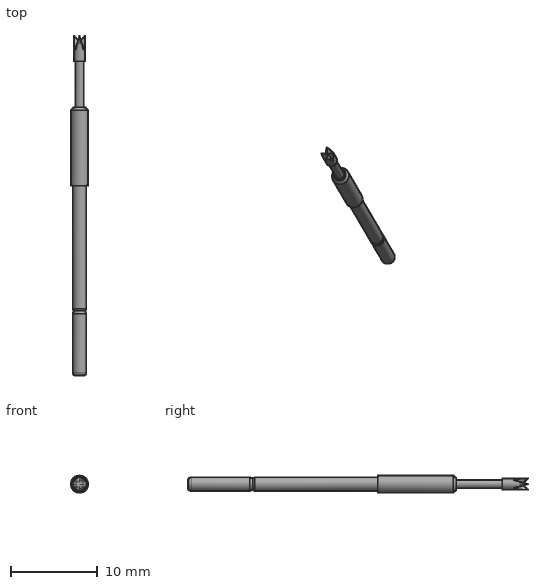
import cadquery as cq
import math


total_length = 39.3
barrel_radius = 0.8
collar_radius = 1.0
plunger_radius = 0.5
crown_radius = 0.66

collar_start = 21.95
collar_end = 31.0
crown_start = 36.3

tail_round = 0.38
collar_chamfer_length = 0.36
collar_chamfer_inset = 0.29

groove_bottom = 7.51
groove_depth = 0.1
groove_cone_length = 0.24
groove_curve_length = 0.36
groove_curve_bow = 0.025

tooth_count = 4
valley_depth_center = 0.69
valley_depth_rim = 1.65


def cylinder(radius, start, end):
    """Solid cylinder on the Y axis between two Y positions."""
    return cq.Workplane("XZ", origin=(0, start, 0)).circle(radius).extrude(start - end)


def make_barrel():
    return cylinder(barrel_radius, 0, collar_start).faces("<Y").edges().fillet(tail_round)


def make_collar():
    blank = cylinder(collar_radius, collar_start, collar_end)
    return blank.faces(">Y").edges().chamfer(collar_chamfer_length, collar_chamfer_inset)


def make_plunger():
    shaft = cylinder(plunger_radius, collar_end, crown_start)
    return shaft.union(cylinder(crown_radius, crown_start, total_length))


def groove_cutter():
    """Ring cutter for the barrel groove, made by revolving its profile about the Y axis."""
    outside = barrel_radius + groove_depth
    tail_edge = groove_bottom - groove_curve_length
    front_edge = groove_bottom + groove_cone_length
    curve_middle = (
        barrel_radius - groove_depth / 2 - groove_curve_bow,
        groove_bottom - groove_curve_length / 2,
    )
    return (
        cq.Workplane("XY")
        .moveTo(outside, tail_edge)
        .lineTo(barrel_radius, tail_edge)
        .threePointArc(curve_middle, (barrel_radius - groove_depth, groove_bottom))
        .lineTo(barrel_radius, front_edge)
        .lineTo(outside, front_edge)
        .close()
        .revolve(360, (0, 0, 0), (0, 1, 0))
    )


def crown_cutter():
    """V-shaped prism opening toward +Y, its valley falling outward in the XY plane along +X."""
    fall = (valley_depth_rim - valley_depth_center) / crown_radius
    half_pitch = math.pi / tooth_count
    flank = fall / math.tan(half_pitch) + valley_depth_center / (crown_radius * math.sin(half_pitch))
    reach = 2 * crown_radius
    height = flank * reach
    axis_y = total_length - valley_depth_center
    inner_y = axis_y + fall * reach
    outer_y = axis_y - fall * reach
    valley = cq.Workplane("XY").moveTo(-reach, inner_y).lineTo(reach, outer_y)
    return (
        cq.Workplane("YZ", origin=(-reach, inner_y, 0))
        .polyline([(0, 0), (height, reach), (height, -reach)])
        .close()
        .sweep(valley)
    )


def cut_crown(body):
    pitch = 360 / tooth_count
    for index in range(tooth_count):
        angle = (index + 0.5) * pitch
        body = body.cut(crown_cutter().rotate((0, 0, 0), (0, 1, 0), angle))
    return body


body = make_barrel().union(make_collar()).union(make_plunger())
body = body.cut(groove_cutter())
result = cut_crown(body)